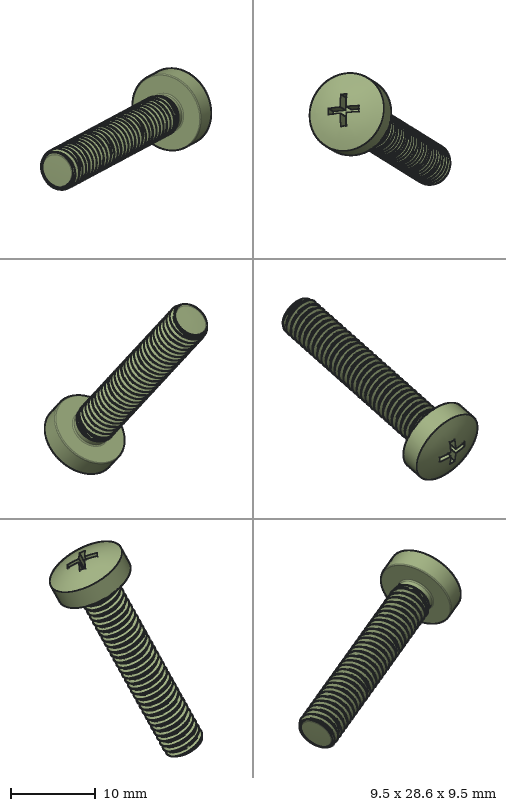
import cadquery as cq
import math


total_length = 28.65
shank_length = 25.0
head_diameter = 9.5
dome_height = 1.15
head_edge_fillet = 0.11

neck_diameter = 4.5
neck_fillet = 0.15

major_diameter = 5.0
pitch = 0.8
thread_chamfer_angle = math.radians(30)
thread_start_step = 0.03
envelope_margin = 0.1
tip_dome_diameter = 4.0
tip_dome_height = 0.05
flank_points = 20

end_turns = 3
middle_piece_turns = 9

recess_span = 3.9
recess_width = 0.75
recess_depth = 1.72

head_radius = head_diameter / 2
head_height = total_length - shank_length
rim_height = head_height - dome_height

neck_radius = neck_diameter / 2
neck_length = pitch

crest_half_width = pitch / 16
root_half_width = 3 * pitch / 8
thread_depth = (root_half_width - crest_half_width) * math.tan(math.radians(60))
major_radius = major_diameter / 2
root_radius = major_radius - thread_depth

thread_top = -neck_length
thread_end = tip_dome_height - shank_length
envelope_radius = major_radius + envelope_margin
thread_turns = math.ceil((thread_top - thread_end) / pitch)


def revolve_about_axis(profile):
    """Turn a closed XY profile a full turn around the Y axis."""
    return profile.close().revolve(360, (0, 0, 0), (0, 1, 0))


def dome_rise_at_half(edge_radius, height):
    """Height of a spherical dome above its edge, halfway out from its axis."""
    radius = (edge_radius**2 + height**2) / (2 * height)
    return height - radius + math.sqrt(radius**2 - (edge_radius / 2) ** 2)


def chamfer_length(small_radius):
    """Length of the thread chamfer cone from a small radius out to the envelope."""
    return (envelope_radius - small_radius) / math.tan(thread_chamfer_angle)


def polar_point(radius, angle):
    return radius * math.cos(angle), radius * math.sin(angle)


def make_head():
    """Cylindrical rim with a shallow dome on top and a rounded lower edge."""
    dome_middle = (head_radius / 2, rim_height + dome_rise_at_half(head_radius, dome_height))
    profile = (
        cq.Workplane("XY")
        .lineTo(head_radius, 0)
        .lineTo(head_radius, rim_height)
        .threePointArc(dome_middle, (0, head_height))
    )
    return revolve_about_axis(profile).faces("<Y").edges().fillet(head_edge_fillet)


def make_neck():
    """Plain neck flaring into the head underside."""
    flare_radius = neck_radius + neck_fillet
    profile = (
        cq.Workplane("XY")
        .moveTo(0, rim_height / 2)
        .lineTo(flare_radius, rim_height / 2)
        .lineTo(flare_radius, 0)
        .radiusArc((neck_radius, -neck_fillet), -neck_fillet)
        .lineTo(neck_radius, thread_top)
        .lineTo(0, thread_top)
    )
    return revolve_about_axis(profile)


def make_recess():
    """Cross-shaped driver recess sunk into the dome."""
    wing = cq.Workplane("XY").box(recess_span, recess_depth, recess_width)
    cross = wing.union(wing.rotate((0, 0, 0), (0, 1, 0), 90))
    return cross.translate((0, head_height - recess_depth / 2, 0))


def make_threaded_rod(first_turn, turns):
    """Right-handed threaded rod: its cross-section, twisted one turn per pitch.

    Turns are counted from the tip towards the head.
    """
    crest_angle = 2 * math.pi * crest_half_width / pitch
    root_angle = 2 * math.pi * root_half_width / pitch
    crest_direction = -math.pi / 2

    def falling_flank(t):
        radius = major_radius - t * thread_depth
        return polar_point(radius, crest_direction + crest_angle + t * (root_angle - crest_angle))

    def rising_flank(t):
        radius = root_radius + t * thread_depth
        return polar_point(radius, crest_direction - root_angle + t * (root_angle - crest_angle))

    section = (
        cq.Workplane("XY")
        .moveTo(*rising_flank(1))
        .threePointArc(polar_point(major_radius, crest_direction), falling_flank(0))
        .parametricCurve(falling_flank, N=flank_points, makeWire=False)
        .threePointArc(polar_point(root_radius, crest_direction + math.pi), rising_flank(0))
        .parametricCurve(rising_flank, N=flank_points, makeWire=False)
        .wire()
    )
    return (
        section.twistExtrude(turns * pitch, turns * 360)
        .rotate((0, 0, 0), (1, 0, 0), -90)
        .translate((0, thread_end + first_turn * pitch, 0))
    )


def make_tip():
    """First turns of the thread, with a chamfer cone and a slightly domed end."""
    edge_radius = tip_dome_diameter / 2
    dome_middle = (
        edge_radius / 2,
        thread_end - dome_rise_at_half(edge_radius, tip_dome_height),
    )
    inner_end = thread_end + 2 * end_turns * pitch
    envelope = (
        cq.Workplane("XY")
        .moveTo(0, -shank_length)
        .threePointArc(dome_middle, (edge_radius, thread_end))
        .lineTo(neck_radius, thread_end)
        .lineTo(envelope_radius, thread_end + chamfer_length(neck_radius))
        .lineTo(envelope_radius, inner_end)
        .lineTo(0, inner_end)
    )
    return make_threaded_rod(-1, end_turns).intersect(revolve_about_axis(envelope), clean=False)


def make_thread_start():
    """Last turns of the thread, chamfered down to just inside the neck."""
    start_radius = neck_radius - thread_start_step
    inner_end = thread_top - 2 * end_turns * pitch
    envelope = (
        cq.Workplane("XY")
        .moveTo(0, inner_end)
        .lineTo(envelope_radius, inner_end)
        .lineTo(envelope_radius, thread_top - chamfer_length(start_radius))
        .lineTo(start_radius, thread_top)
        .lineTo(0, thread_top)
    )
    first_turn = thread_turns - end_turns + 1
    return make_threaded_rod(first_turn, end_turns).intersect(revolve_about_axis(envelope), clean=False)


def make_middle_faces():
    """Side faces of the full thread between the two end pieces."""
    first_turn = end_turns - 1
    middle_turns = thread_turns - 2 * first_turn
    piece = make_threaded_rod(first_turn, middle_piece_turns)
    faces = []
    for index in range(middle_turns // middle_piece_turns):
        moved = piece.translate((0, index * middle_piece_turns * pitch, 0))
        faces += moved.faces("not(<Y or >Y)").vals()
    return faces


head = make_head().union(make_neck()).cut(make_recess())
tip = make_tip()
thread_start = make_thread_start()

neck_edge = head.faces("<Y").val().outerWire()
thread_edge = thread_start.faces(">Y").val().outerWire()
neck_ring = cq.Face.makeFromWires(neck_edge, [thread_edge])

skin = (
    tip.faces("not >Y").vals()
    + make_middle_faces()
    + thread_start.faces("not(<Y or >Y)").vals()
    + head.faces("not <Y").vals()
    + [neck_ring]
)
result = cq.Workplane(obj=cq.Solid.makeSolid(cq.Shell.makeShell(skin)))